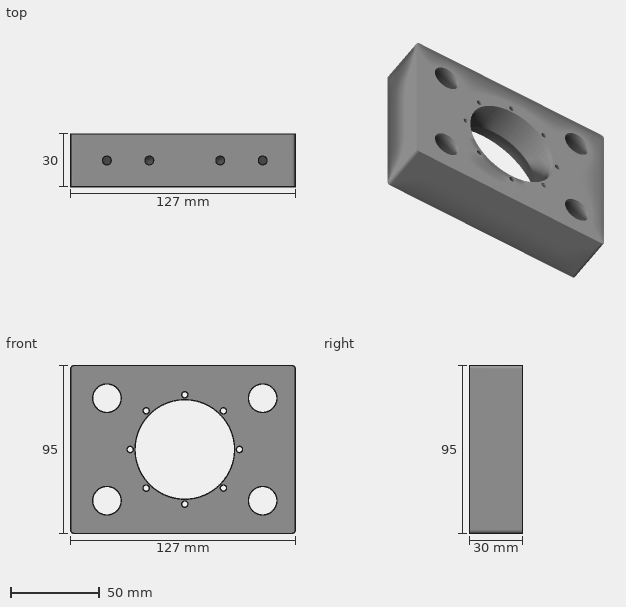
import cadquery as cq
import math

length = 127.0
thickness = 30.0
height = 95.0
corner_radius = 2.0

pattern_x = 1.0

bore_diameter = 56.1
bore_depth = 18.0
recess_diameter = 73.9

ring_diameter = 61.7
ring_hole_diameter = 3.4
ring_hole_count = 8

corner_hole_diameter = 16.0
corner_spacing_x = 88.0
corner_spacing_z = 57.9

top_hole_diameter = 5.0
inner_spacing = 40.0
inner_hole_depth = 10.2
drill_point_angle = 118.0


def cylinder_along_y(x, z, diameter, start_y, depth):
    """Cylinder running from start_y towards +Y."""
    return cq.Workplane(
        cq.Solid.makeCylinder(
            diameter / 2, depth, cq.Vector(x, start_y, z), cq.Vector(0, 1, 0)
        )
    )


def drill_from_top(x, depth, pointed):
    """Vertical hole at mid thickness, with an optional conical drill point."""
    radius = top_hole_diameter / 2
    top = height / 2
    down = cq.Vector(0, 0, -1)
    drill = cq.Workplane(cq.Solid.makeCylinder(radius, depth, cq.Vector(x, 0, top), down))
    if pointed:
        point_length = radius / math.tan(math.radians(drill_point_angle / 2))
        point = cq.Solid.makeCone(radius, 0, point_length, cq.Vector(x, 0, top - depth), down)
        drill = drill.union(cq.Workplane(point))
    return drill


front_y = -thickness / 2

result = cq.Workplane().box(length, thickness, height).edges("|Y").fillet(corner_radius)

result = result.cut(cylinder_along_y(pattern_x, 0, bore_diameter, front_y, thickness))
result = result.cut(
    cylinder_along_y(
        pattern_x, 0, recess_diameter, front_y + bore_depth, thickness - bore_depth
    )
)

for index in range(ring_hole_count):
    angle = 2 * math.pi * index / ring_hole_count
    hole_x = pattern_x + ring_diameter / 2 * math.cos(angle)
    hole_z = ring_diameter / 2 * math.sin(angle)
    result = result.cut(
        cylinder_along_y(hole_x, hole_z, ring_hole_diameter, front_y, thickness)
    )

outer_hole_depth = (height - corner_spacing_z) / 2
for side in (-1, 1):
    corner_x = pattern_x + side * corner_spacing_x / 2
    for level in (-1, 1):
        corner_z = level * corner_spacing_z / 2
        result = result.cut(
            cylinder_along_y(corner_x, corner_z, corner_hole_diameter, front_y, thickness)
        )
    result = result.cut(drill_from_top(corner_x, outer_hole_depth, pointed=False))
    inner_x = pattern_x + side * inner_spacing / 2
    result = result.cut(drill_from_top(inner_x, inner_hole_depth, pointed=True))